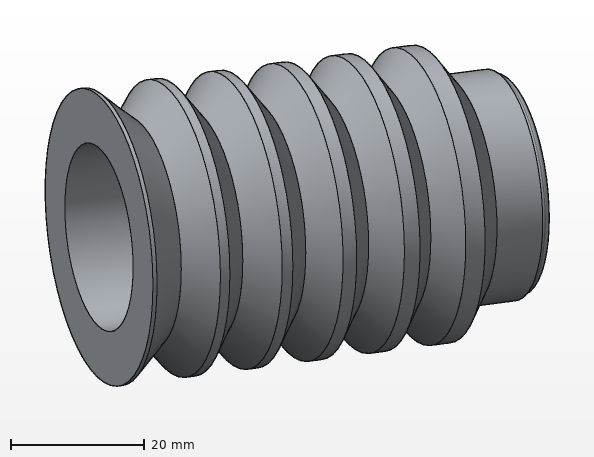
import cadquery as cq

length = 66.1
crest_diameter = 45.0

rim_width = 0.65
flange_root = 6.5
flange_root_diameter = 35.0

ribs = [
    (10.85, 12.35, 16.4, 34.85),
    (20.75, 22.5, 26.5, 34.85),
    (30.55, 32.7, 36.5, 35.4),
    (40.4, 42.9, 46.4, 35.8),
]
last_crest_start = 50.25
last_crest_end = 53.35

collar_diameter = 35.0
collar_start = 57.2
collar_end = 64.5
ring_diameter = 34.0
ring_section_diameter = 2.0

mouth_bore_diameter = 28.5
collar_bore_diameter = 18.65

axis_start = (0, 0, 0)
axis_end = (0, 1, 0)
crest_radius = crest_diameter / 2


def bellows_outline():
    """Half profile, as (radius, position along Y), from the mouth to the collar end."""
    points = [
        (0, 0),
        (crest_radius, 0),
        (crest_radius, rim_width),
        (flange_root_diameter / 2, flange_root),
    ]
    for crest_start, crest_end, root, root_diameter in ribs:
        points += [
            (crest_radius, crest_start),
            (crest_radius, crest_end),
            (root_diameter / 2, root),
        ]
    points += [
        (crest_radius, last_crest_start),
        (crest_radius, last_crest_end),
        (collar_diameter / 2, collar_start),
        (collar_diameter / 2, collar_end),
        (0, collar_end),
    ]
    return points


def cylinder_along_y(diameter, start, end):
    """Solid cylinder on the Y axis between two positions."""
    plane = cq.Workplane("XZ", origin=(0, start, 0))
    return plane.circle(diameter / 2).extrude(start - end)


bellows = cq.Workplane("XY").polyline(bellows_outline()).close().revolve(360, axis_start, axis_end)

ring_section_radius = ring_section_diameter / 2
sealing_ring = (
    cq.Workplane("XY")
    .moveTo(ring_diameter / 2 - ring_section_radius, length - ring_section_radius)
    .circle(ring_section_radius)
    .revolve(360, axis_start, axis_end)
)

mouth_bore = cylinder_along_y(mouth_bore_diameter, 0, collar_start)
collar_bore = cylinder_along_y(collar_bore_diameter, 0, length)

result = bellows.union(sealing_ring).cut(mouth_bore).cut(collar_bore)